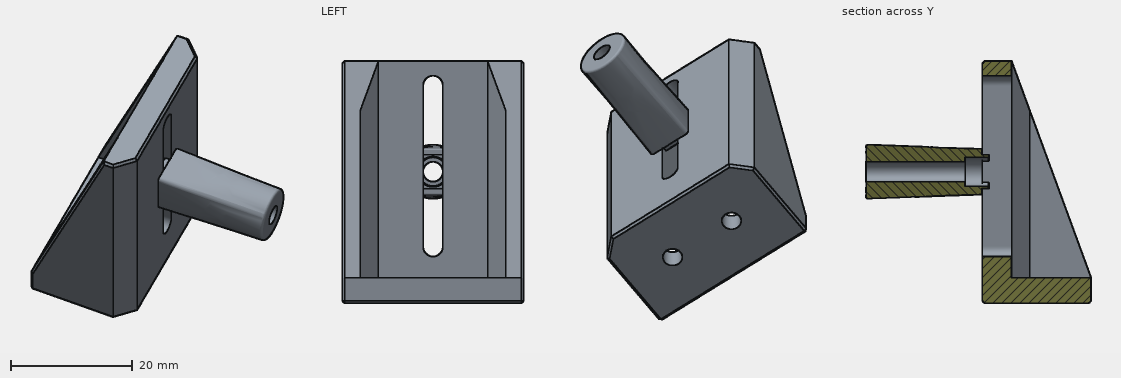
import cadquery as cq

DEPTH = 18.0
WIDTH = 30.0
HEIGHT = 40.0
BASE_THICKNESS = 4.25
BACK_THICKNESS = 4.9
SIDE_THICKNESS = 3.0
CORNER_CHAMFER = 3.0
EDGE_CHAMFER = 0.4

SLOT_WIDTH = 3.2
SLOT_LENGTH = 29.8
SLOT_CENTER_Z = 22.65
UPRIGHT_ANGLE = 90.0

BASE_HOLE_DIAMETER = 3.2
BASE_HOLE_SPACING = 12.0

HANDLE_LENGTH = 19.2
HANDLE_CENTER_Z = 21.7
HANDLE_SQUARE = 7.6
HANDLE_CORNER_RADIUS = 0.6
HANDLE_END_DIAMETER = 9.0
HANDLE_END_FILLET = 0.4
HANDLE_SQUARE_FILLET = 0.2
TONGUE_HEIGHT = 5.6
TONGUE_LENGTH = 1.2
TONGUE_FILLET = 0.2
SCREW_HOLE_DIAMETER = 3.25
COUNTERBORE_DIAMETER = 4.7
COUNTERBORE_DEPTH = 4.0
COUNTERBORE_CHAMFER = 0.15
BEVEL_ANGLE = 45.0

back_face_x = DEPTH - BACK_THICKNESS


def make_bracket_blank():
    """Block with a sloping front, bevelled back corners and small edge bevels."""
    blank = cq.Workplane("XY").box(DEPTH, WIDTH, HEIGHT, centered=(False, True, False))
    blank = blank.edges("|Z and >X").chamfer(CORNER_CHAMFER)
    slope = (
        cq.Workplane("XZ")
        .polyline([(0, BASE_THICKNESS), (back_face_x, HEIGHT), (0, HEIGHT)])
        .close()
        .extrude(WIDTH / 2, both=True)
    )
    blank = blank.cut(slope)
    side_edges = blank.faces("<Y or >Y").edges("not |Z")
    front_side_edges = blank.edges("|Z and <X")
    bottom_edges = blank.faces("<Z").edges()
    top_edges = blank.faces(">Z").edges("not <X")
    return (
        side_edges.add(front_side_edges).add(bottom_edges).add(top_edges)
        .chamfer(EDGE_CHAMFER)
    )


def make_pocket():
    """Space between the side walls, above the base and in front of the back wall."""
    return (
        cq.Workplane("XY")
        .workplane(offset=BASE_THICKNESS)
        .box(back_face_x, WIDTH - 2 * SIDE_THICKNESS, HEIGHT, centered=(False, True, False))
        .edges("|Z and >X")
        .chamfer(CORNER_CHAMFER)
    )


def make_slot():
    """Upright round-ended slot through the back wall."""
    return (
        cq.Workplane("YZ")
        .center(0, SLOT_CENTER_Z)
        .slot2D(SLOT_LENGTH, SLOT_WIDTH, UPRIGHT_ANGLE)
        .extrude(DEPTH)
    )


def make_base_holes():
    """Two screw holes through the base."""
    return (
        cq.Workplane("XY")
        .center(DEPTH / 2, 0)
        .rarray(0.4, BASE_HOLE_SPACING, 1, 2)
        .circle(BASE_HOLE_DIAMETER / 2)
        .extrude(BASE_THICKNESS)
    )


def make_bracket():
    return make_bracket_blank().cut(make_pocket()).cut(make_slot()).cut(make_base_holes())


def make_grip():
    """Grip lofted along +X from a round-cornered square to a circle."""
    square = cq.Sketch().rect(HANDLE_SQUARE, HANDLE_SQUARE).vertices().fillet(HANDLE_CORNER_RADIUS)
    circle = cq.Sketch().circle(HANDLE_END_DIAMETER / 2)
    grip = (
        cq.Workplane("YZ", origin=(DEPTH, 0, HANDLE_CENTER_Z))
        .placeSketch(square, circle.moved(cq.Location(cq.Vector(0, 0, HANDLE_LENGTH))))
        .loft()
    )
    grip = grip.faces(">X").edges().fillet(HANDLE_END_FILLET)
    return grip.faces("<X").edges().fillet(HANDLE_SQUARE_FILLET)


def make_tongue():
    """Block that fills the width of the slot and keeps the handle from turning."""
    return (
        cq.Workplane("YZ", origin=(DEPTH, 0, HANDLE_CENTER_Z))
        .rect(SLOT_WIDTH, TONGUE_HEIGHT)
        .extrude(-TONGUE_LENGTH)
        .faces("<X")
        .edges("|Y")
        .fillet(TONGUE_FILLET)
    )


def make_handle_bore():
    """Through hole with a bevelled counterbore that opens at the tongue."""
    tongue_end = cq.Workplane("YZ", origin=(DEPTH - TONGUE_LENGTH, 0, HANDLE_CENTER_Z))
    counterbore_radius = COUNTERBORE_DIAMETER / 2
    through_hole = tongue_end.circle(SCREW_HOLE_DIAMETER / 2).extrude(TONGUE_LENGTH + HANDLE_LENGTH)
    counterbore = tongue_end.circle(counterbore_radius).extrude(COUNTERBORE_DEPTH)
    mouth = (
        tongue_end.circle(counterbore_radius + COUNTERBORE_CHAMFER)
        .extrude(COUNTERBORE_CHAMFER, taper=BEVEL_ANGLE)
    )
    return through_hole.union(counterbore).union(mouth)


def make_handle():
    return make_grip().union(make_tongue()).cut(make_handle_bore())


bracket = make_bracket().solids()
handle = make_handle().solids()

result = cq.Compound.makeCompound([bracket.val(), handle.val()])